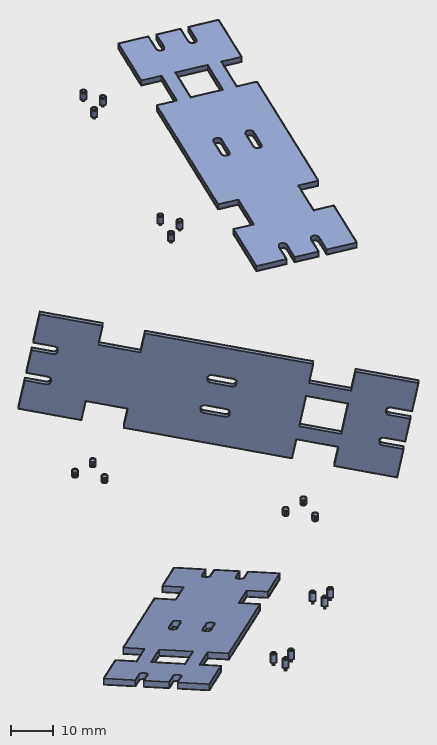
import cadquery as cq

plate_length = 90.0
plate_width = 25.0
plate_thickness = 1.5

notch_length = 10.0
notch_depth = 5.0
notch_center_x = 25.0
window_width = 8.0

slot_width = 2.0
slot_row_spacing = 8.0
end_slot_depth = 6.0
middle_slot_length = 7.0

overall_height = 4.05
barrel_bottom = plate_thickness
barrel_radius = 0.75
tail_radius = 0.25
tail_length = 0.7
tip_radius = 0.5
tip_height = 0.5
dome_height = 0.3

overall_width = 40.8
pin_spacing = 3.5
far_pin_row_y = plate_width / 2 - overall_width + barrel_radius


def make_plate():
    plate = cq.Workplane("XY").box(
        plate_length, plate_width, plate_thickness, centered=(True, True, False)
    )
    for side_x in (-1, 1):
        for side_y in (-1, 1):
            notch_y = side_y * (plate_width - notch_depth) / 2
            notch = (
                cq.Workplane("XY")
                .center(side_x * notch_center_x, notch_y)
                .rect(notch_length, notch_depth)
                .extrude(plate_thickness)
            )
            plate = plate.cut(notch)

    window = (
        cq.Workplane("XY")
        .center(-notch_center_x, 0)
        .rect(notch_length, window_width)
        .extrude(plate_thickness)
    )
    plate = plate.cut(window)

    slots = [
        (-plate_length / 2, 2 * end_slot_depth),
        (0, middle_slot_length),
        (plate_length / 2, 2 * end_slot_depth),
    ]
    for slot_x, slot_length in slots:
        for side_y in (-1, 1):
            slot = (
                cq.Workplane("XY")
                .center(slot_x, side_y * slot_row_spacing / 2)
                .slot2D(slot_length, slot_width)
                .extrude(plate_thickness)
            )
            plate = plate.cut(slot)
    return plate


def make_pin(x, y):
    tail_bottom = barrel_bottom - tail_length
    barrel_top = overall_height - tip_height
    dome_bottom = overall_height - dome_height
    dome_sphere_radius = (tip_radius**2 + dome_height**2) / (2 * dome_height)
    profile = (
        cq.Workplane("XZ")
        .moveTo(0, tail_bottom)
        .lineTo(tail_radius, tail_bottom)
        .lineTo(tail_radius, barrel_bottom)
        .lineTo(barrel_radius, barrel_bottom)
        .lineTo(barrel_radius, barrel_top)
        .lineTo(tip_radius, barrel_top)
        .lineTo(tip_radius, dome_bottom)
        .radiusArc((0, overall_height), -dome_sphere_radius)
        .close()
    )
    pin = profile.revolve(360, (0, 0, 0), (0, 1, 0))
    return pin.translate((x, y, 0))


plate = make_plate()

pins = []
for group_x in (-notch_center_x, notch_center_x):
    pins.append(make_pin(group_x - pin_spacing, far_pin_row_y))
    pins.append(make_pin(group_x + pin_spacing, far_pin_row_y))
    pins.append(make_pin(group_x, far_pin_row_y + pin_spacing))

result = cq.Compound.makeCompound([plate.val()] + [pin.val() for pin in pins])